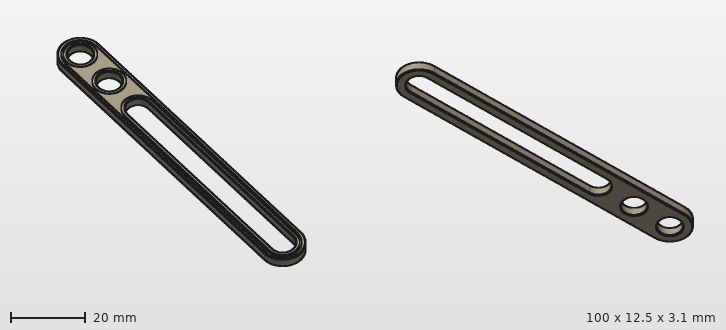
import cadquery as cq

length = 100.0
width = 12.5
thickness = 3.1
edge_chamfer = 0.3

pitch = width
opening_diameter = 7.0
collar_diameter = 9.2

side_rim_width = 1.0
end_rim_width = 1.1
recess_depth = 0.2

first_hole_x = -(length - width) / 2
second_hole_x = first_hole_x + pitch
slot_start_x = second_hole_x + pitch
slot_end_x = -first_hole_x

opening_centres = [
    (first_hole_x, first_hole_x),
    (second_hole_x, second_hole_x),
    (slot_start_x, slot_end_x),
]


def stadium(start_x, end_x, diameter, height):
    """Round-ended solid standing on Z = 0 between two end centres on the X axis."""
    base = cq.Workplane("XY").center((start_x + end_x) / 2, 0)
    span = end_x - start_x
    if span == 0:
        return base.circle(diameter / 2).extrude(height)
    return base.slot2D(span + diameter, diameter).extrude(height)


def make_bar():
    """Drilled bar with every edge of both flat faces chamfered."""
    bar = stadium(first_hole_x, slot_end_x, width, thickness)
    for start_x, end_x in opening_centres:
        bar = bar.cut(stadium(start_x, end_x, opening_diameter, thickness))
    return bar.faces("<Z or >Z").edges().chamfer(edge_chamfer)


def make_recess():
    """Volume removed from the upper face, leaving the rim and the collars."""
    recess = stadium(first_hole_x, slot_end_x, width - 2 * end_rim_width, recess_depth)
    straight_part = (
        cq.Workplane("XY")
        .rect(slot_end_x - first_hole_x, width - 2 * side_rim_width)
        .extrude(recess_depth)
    )
    recess = recess.union(straight_part)
    for start_x, end_x in opening_centres:
        recess = recess.cut(stadium(start_x, end_x, collar_diameter, recess_depth))
    return recess.translate((0, 0, thickness - recess_depth))


result = make_bar().cut(make_recess())